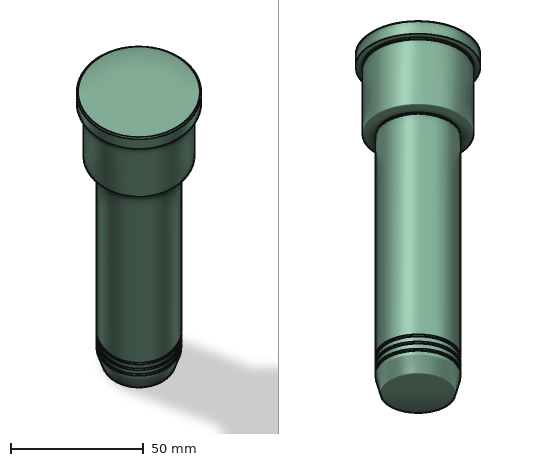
import cadquery as cq
import math

total_length = 151.0
head_height = 6.0
collar_bottom = 115.0

head_diameter = 47.0
collar_diameter = 42.0
shaft_diameter = 32.0

head_chamfer = 0.6
collar_fillet = 0.5
tip_fillet = 0.5

tip_length = 7.2
tip_angle = 15.0

groove_count = 3
groove_start = 8.9
groove_pitch = 3.2
groove_width = 1.0
groove_depth = 0.5

relief_width = 1.0
relief_depth = 0.5

neck_length = 0.9
neck_depth = 0.5

head_bottom = total_length - head_height
tip_diameter = shaft_diameter - 2 * tip_length * math.tan(math.radians(tip_angle))


def cylinder(diameter, bottom, top):
    return cq.Workplane("XY").workplane(offset=bottom).circle(diameter / 2).extrude(top - bottom)


def groove_ring(diameter, bottom, width, depth):
    """V-shaped ring to cut from a cylinder of the given diameter."""
    radius = diameter / 2
    return (
        cq.Workplane("XZ")
        .moveTo(radius, bottom)
        .lineTo(radius - depth, bottom + width / 2)
        .lineTo(radius, bottom + width)
        .lineTo(radius + depth, bottom + width)
        .lineTo(radius + depth, bottom)
        .close()
        .revolve(360, (0, 0, 0), (0, 1, 0))
    )


def make_tip():
    cone = (
        cq.Workplane("XY")
        .circle(tip_diameter / 2)
        .workplane(offset=tip_length)
        .circle(shaft_diameter / 2)
        .loft(ruled=True)
    )
    return cone.faces("<Z").fillet(tip_fillet)


def make_shaft():
    neck_bottom = collar_bottom - neck_length
    shaft = cylinder(shaft_diameter, tip_length, neck_bottom)
    for index in range(groove_count):
        bottom = groove_start + index * groove_pitch
        shaft = shaft.cut(groove_ring(shaft_diameter, bottom, groove_width, groove_depth))
    neck = cylinder(shaft_diameter - 2 * neck_depth, neck_bottom, collar_bottom)
    return shaft.union(neck)


def make_collar():
    collar = cylinder(collar_diameter, collar_bottom, head_bottom)
    collar = collar.faces("<Z").fillet(collar_fillet)
    relief_bottom = head_bottom - relief_width
    return collar.cut(groove_ring(collar_diameter, relief_bottom, relief_width, relief_depth))


head = cylinder(head_diameter, head_bottom, total_length).faces(">Z").chamfer(head_chamfer)

result = make_tip().union(make_shaft()).union(make_collar()).union(head)